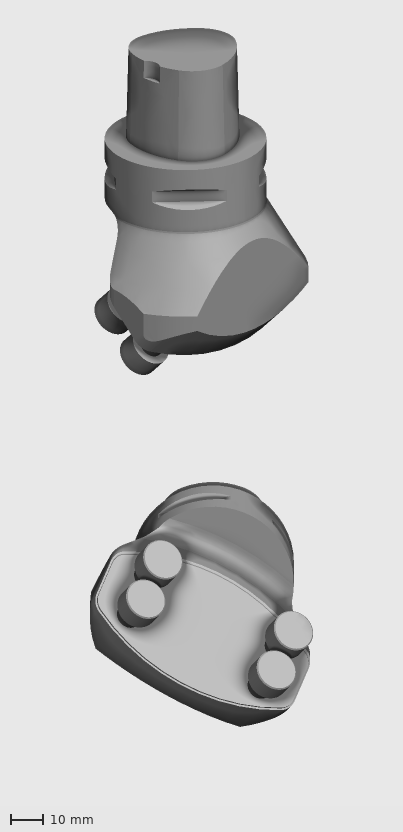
import cadquery as cq
import math


SHANK_LENGTH = 30.0
SHANK_TAPER = math.degrees(math.atan(1 / 40))
LOBE_REACH = 18.5
SIDE_REACH = 16.45
LOBE_RADIUS = 12.3
LOBE_COUNT = 3

NOTCH_RADIUS = 4.5
NOTCH_FLOOR_Y = -14.1
NOTCH_DEPTH = 5.7

FLANGE_RADIUS = 25.0
FLANGE_HEIGHT = 20.0
SLOT_COUNT = 4
SLOT_DEPTH = 2.85
SLOT_FLOOR_HEIGHT = 3.6
SLOT_FLANK_ANGLE = 30.0
SLOT_Z = -10.0

CONE_TOP_Z = -21.15
CONE_ANGLE = 30.0
NECK_FILLET = 1.1
HEAD_RADIUS = 38.0
HEAD_WIDTH = 70.5
HEAD_RIGHT_X = 28.0
BACK_X = -8.35
BACK_RADIUS = 83.0
BACK_CORNER_RADIUS = 4.0
BACK_FILLET = 6.1

FACE_TILT = 45.0
FACE_OFFSET = 31.0
TIP_U = 59.6
END_RADIUS = 63.0
END_CORNER_RADIUS = 6.0
PAD_HEIGHT = 0.65
PAD_INSET = 0.6

SCREW_SHANK_DIAMETER = 8.0
SCREW_HEAD_DIAMETER = 13.0
SCREW_HEAD_HEIGHT = 8.0
SCREW_REACH = 15.0
SCREW_CHAMFER = 0.4
SCREW_EMBED = 5.0
SCREW_U = (32.2, 47.2)
SCREW_Y = 23.25

HALF_WIDTH = HEAD_WIDTH / 2
BELOW_PART = 80.0


def polar(radius, degrees):
    angle = math.radians(degrees)
    return (radius * math.cos(angle), radius * math.sin(angle))


def make_shank():
    """Six tangent arcs, with lobes at 90, 210 and 330 degrees, drawn in by the taper."""
    pitch = 360 / LOBE_COUNT
    lobe_centre = LOBE_REACH - LOBE_RADIUS
    gap = SIDE_REACH - LOBE_RADIUS
    side_centre = (lobe_centre**2 - gap**2) / (2 * gap - lobe_centre)
    swing = math.degrees(math.atan2(
        lobe_centre * math.sin(math.radians(pitch / 2)),
        side_centre + lobe_centre * math.cos(math.radians(pitch / 2)),
    ))
    side_radius = side_centre + SIDE_REACH
    along, across = polar(side_radius, swing)
    along -= side_centre
    joint_radius = math.hypot(along, across)
    joint_angle = math.degrees(math.atan2(across, along))

    outline = cq.Workplane("XY").moveTo(*polar(joint_radius, -90 - joint_angle))
    for index in range(LOBE_COUNT):
        side = -90 + index * pitch
        lobe = side + pitch / 2
        next_side = side + pitch
        outline = outline.threePointArc(polar(SIDE_REACH, side), polar(joint_radius, side + joint_angle))
        outline = outline.threePointArc(polar(LOBE_REACH, lobe), polar(joint_radius, next_side - joint_angle))
    shank = outline.close().extrude(SHANK_LENGTH, taper=SHANK_TAPER)

    notch = (
        cq.Workplane("XY", origin=(0, NOTCH_FLOOR_Y - NOTCH_RADIUS, SHANK_LENGTH))
        .circle(NOTCH_RADIUS)
        .extrude(-NOTCH_DEPTH)
    )
    return shank.cut(notch)


def make_slot():
    """Straight groove with sloping flanks, cut across the +X side of the flange."""
    floor_x = FLANGE_RADIUS - SLOT_DEPTH
    half_floor = SLOT_FLOOR_HEIGHT / 2
    half_mouth = half_floor + SLOT_DEPTH * math.tan(math.radians(SLOT_FLANK_ANGLE))
    return (
        cq.Workplane("XZ", origin=(0, 0, SLOT_Z))
        .polyline([
            (floor_x, -half_floor),
            (FLANGE_RADIUS, -half_mouth),
            (FLANGE_RADIUS, half_mouth),
            (floor_x, half_floor),
        ])
        .close()
        .extrude(FLANGE_RADIUS, both=True)
    )


def make_flange():
    flange = cq.Workplane("XY").circle(FLANGE_RADIUS).extrude(-FLANGE_HEIGHT)
    slot = make_slot()
    for index in range(SLOT_COUNT):
        angle = (index + 0.5) * 360 / SLOT_COUNT
        flange = flange.cut(slot.rotate((0, 0, 0), (0, 0, 1), angle))
    return flange


def make_head_blank():
    """Cone that widens from the flange into a cylinder, blended into the flange rim."""
    cone_bottom_z = CONE_TOP_Z - (HEAD_RADIUS - FLANGE_RADIUS) / math.tan(math.radians(CONE_ANGLE))
    neck = cq.selectors.BoxSelector(
        (-FLANGE_RADIUS, -FLANGE_RADIUS, CONE_TOP_Z - NECK_FILLET / 2),
        (FLANGE_RADIUS, FLANGE_RADIUS, CONE_TOP_Z + NECK_FILLET / 2),
    )
    return (
        cq.Workplane("XZ")
        .polyline([
            (0, -FLANGE_HEIGHT),
            (FLANGE_RADIUS, -FLANGE_HEIGHT),
            (FLANGE_RADIUS, CONE_TOP_Z),
            (HEAD_RADIUS, cone_bottom_z),
            (HEAD_RADIUS, -BELOW_PART),
            (0, -BELOW_PART),
        ])
        .close()
        .revolve(360, (0, 0, 0), (0, 1, 0))
        .edges(neck)
        .fillet(NECK_FILLET)
    )


def make_upright_outline(inset=0.0):
    """Column with a bowed back wall, flat sides and a flat right wall."""
    half_width = HALF_WIDTH - inset
    back_radius = BACK_RADIUS - inset
    back_x = BACK_X + inset
    corner_x = back_x + back_radius - math.sqrt(back_radius**2 - half_width**2)
    return (
        cq.Workplane("XY", origin=(0, 0, -FLANGE_HEIGHT))
        .moveTo(HEAD_RIGHT_X, -half_width)
        .lineTo(HEAD_RIGHT_X, half_width)
        .lineTo(corner_x, half_width)
        .threePointArc((back_x, 0), (corner_x, -half_width))
        .close()
        .extrude(-BELOW_PART)
        .edges("|Z and (not >X)")
        .fillet(BACK_CORNER_RADIUS - inset)
    )


def make_back_fillet():
    """Concave ring that blends the bowed back wall into the flange underside."""
    axis_x = BACK_X + BACK_RADIUS
    top = -FLANGE_HEIGHT
    outer = BACK_RADIUS + BACK_FILLET
    bulge = BACK_FILLET * (1 - math.sqrt(0.5))
    return (
        cq.Workplane("XZ", origin=(axis_x, 0, 0))
        .moveTo(-BACK_RADIUS + BACK_FILLET, top)
        .lineTo(-outer, top)
        .threePointArc((-BACK_RADIUS - bulge, top - bulge), (-BACK_RADIUS, top - BACK_FILLET))
        .lineTo(-BACK_RADIUS + BACK_FILLET, top - BACK_FILLET)
        .close()
        .revolve(360, (0, 0, 0), (0, 1, 0))
        .intersect(cq.Workplane("XY").box(2 * FLANGE_RADIUS, HEAD_WIDTH, BELOW_PART))
    )


def face_plane():
    """Plane of the mounting face: local X is U, local Z points out of the face."""
    lean = math.radians(FACE_TILT)
    outward = (-math.sin(lean), 0, -math.cos(lean))
    down_face = (math.cos(lean), 0, -math.sin(lean))
    origin = tuple(FACE_OFFSET * part for part in outward)
    return cq.Plane(origin=origin, xDir=down_face, normal=outward)


def make_tilted_outline(recess, inset=0.0):
    """Block square to the mounting face, ending a recess behind it, with a bowed lower end."""
    half_width = HALF_WIDTH - inset
    end_radius = END_RADIUS - inset
    tip_u = TIP_U - inset
    corner_u = tip_u - end_radius + math.sqrt(end_radius**2 - half_width**2)
    return (
        cq.Workplane(face_plane())
        .workplane(offset=-recess)
        .moveTo(-BELOW_PART, -half_width)
        .lineTo(corner_u, -half_width)
        .threePointArc((tip_u, 0), (corner_u, half_width))
        .lineTo(-BELOW_PART, half_width)
        .close()
        .extrude(-2 * BELOW_PART)
        .edges(cq.selectors.ParallelDirSelector(face_plane().zDir))
        .edges(">X")
        .fillet(END_CORNER_RADIUS - inset)
    )


def make_head():
    blank = make_head_blank()
    column = make_upright_outline().union(make_back_fillet())
    body = blank.intersect(column).intersect(make_tilted_outline(PAD_HEIGHT))
    pad = blank.intersect(make_upright_outline(PAD_INSET)).intersect(make_tilted_outline(0, PAD_INSET))
    return body.union(pad)


def make_screw(u, y):
    shank = (
        cq.Workplane(face_plane())
        .workplane(offset=-SCREW_EMBED)
        .center(u, y)
        .circle(SCREW_SHANK_DIAMETER / 2)
        .extrude(SCREW_EMBED + SCREW_REACH - SCREW_HEAD_HEIGHT)
    )
    screw_head = (
        cq.Workplane(face_plane())
        .workplane(offset=SCREW_REACH - SCREW_HEAD_HEIGHT)
        .center(u, y)
        .circle(SCREW_HEAD_DIAMETER / 2)
        .extrude(SCREW_HEAD_HEIGHT)
        .faces(cq.selectors.DirectionMinMaxSelector(face_plane().zDir, True))
        .chamfer(SCREW_CHAMFER)
    )
    return shank.union(screw_head)


result = make_shank().union(make_flange()).union(make_head())
for screw_u in SCREW_U:
    for screw_y in (-SCREW_Y, SCREW_Y):
        result = result.union(make_screw(screw_u, screw_y))